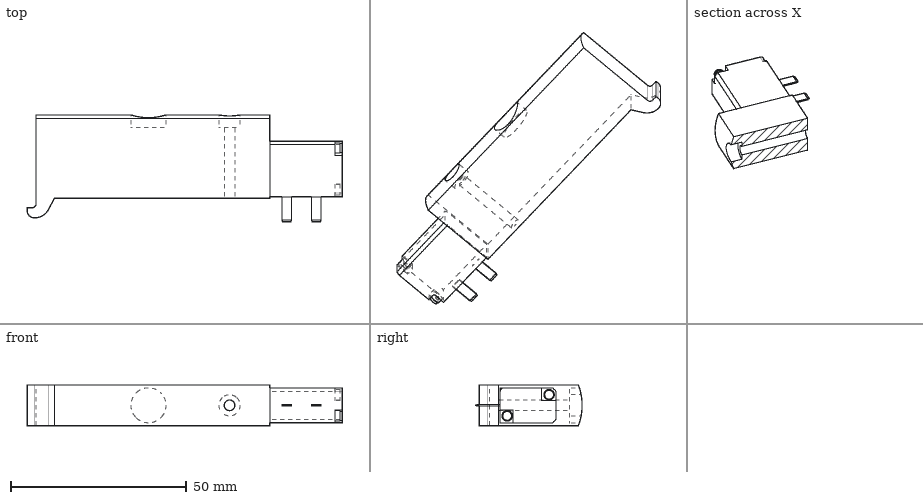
import cadquery as cq
import math

total_length = 89.9

housing_left = 2.5
housing_right = 69.2
housing_thickness = 11.7
housing_top = 23.8
housing_crown = 1.1

hook_bottom = -5.6
hook_lip_top = -2.6
hook_inner_radius = 1.0
hook_nose_radius = 2.2
hook_back_radius = 4.5
hook_back_angle = math.radians(62)

screw_x = 57.7
screw_diameter = 3.0
screw_head_diameter = 6.0
screw_head_depth = 3.6
button_x = 34.6
button_diameter = 10.0
button_depth = 3.6

plug_bottom = 0.45
plug_top = 16.4
plug_chamfer = 1.0
plug_thickness = 10.0

end_detail_length = 2.2
corner_radius = 1.1
lower_notch_width = 3.7
upper_notch_width = 4.1
notch_height = 3.7
peg_diameter = 3.0
peg_inset = 2.0
peg_head_length = 1.4
peg_neck_diameter = 2.5

pin_centers = (74.0, 82.4)
pin_width = 2.8
pin_thickness = 0.45
pin_tip = -6.65
pin_tip_length = 0.5
pin_tip_inset = 0.2


def make_housing():
    """Block along X whose +Y face is an arc across the thickness."""
    half = housing_thickness / 2
    crown_edge = housing_top - housing_crown
    return (
        cq.Workplane("YZ", origin=(housing_left, 0, 0))
        .moveTo(0, -half)
        .lineTo(crown_edge, -half)
        .threePointArc((housing_top, 0), (crown_edge, half))
        .lineTo(0, half)
        .close()
        .extrude(housing_right - housing_left)
    )


def x_cylinder(x_start, length, y, z, diameter):
    return cq.Workplane("YZ", origin=(x_start, y, z)).circle(diameter / 2).extrude(length)


def y_hole(x, y_start, y_end, diameter):
    """Cylinder that runs from y_start up to y_end."""
    return (
        cq.Workplane("XZ", origin=(x, y_end, 0))
        .circle(diameter / 2)
        .extrude(y_end - y_start)
    )


def make_hook():
    sine = math.sin(hook_back_angle)
    cosine = math.cos(hook_back_angle)
    bottom_x = hook_nose_radius
    back_x = bottom_x + hook_back_radius * sine
    back_y = hook_bottom + hook_back_radius * (1 - cosine)
    root_x = back_x - back_y * cosine / sine
    overlap = 0.9
    return (
        cq.Workplane("XY", origin=(0, 0, -housing_thickness / 2))
        .moveTo(0, hook_lip_top)
        .lineTo(0, hook_bottom + hook_nose_radius)
        .tangentArcPoint((bottom_x, hook_bottom), relative=False)
        .tangentArcPoint((back_x, back_y), relative=False)
        .lineTo(root_x, 0)
        .lineTo(root_x, overlap)
        .lineTo(housing_left, overlap)
        .lineTo(housing_left, hook_lip_top + hook_inner_radius)
        .tangentArcPoint((housing_left - hook_inner_radius, hook_lip_top), relative=False)
        .close()
        .extrude(housing_thickness)
    )


def corner_box(y_corner, z_corner, y_inward, z_inward, width, height):
    """Rectangular bar at a plug corner; the inward signs point into the plug."""
    return cq.Workplane("XY").box(end_detail_length, width, height).translate((
        total_length - end_detail_length / 2,
        y_corner + y_inward * width / 2,
        z_corner + z_inward * height / 2,
    ))


def round_corner(plug, y_corner, z_corner, y_inward, z_inward):
    corner = corner_box(y_corner, z_corner, y_inward, z_inward, corner_radius, corner_radius)
    rounding = x_cylinder(
        total_length - end_detail_length, end_detail_length,
        y_corner + y_inward * corner_radius, z_corner + z_inward * corner_radius,
        2 * corner_radius,
    )
    return plug.cut(corner.cut(rounding))


def peg_corner(plug, y_corner, z_corner, y_inward, z_inward, notch_width):
    """Rectangular notch holding a stepped round peg."""
    peg_x = total_length - end_detail_length
    peg_y = y_corner + y_inward * peg_inset
    peg_z = z_corner + z_inward * peg_inset
    root = 0.45
    head = x_cylinder(peg_x - root, root + peg_head_length, peg_y, peg_z, peg_diameter)
    neck = x_cylinder(peg_x, end_detail_length, peg_y, peg_z, peg_neck_diameter)
    notch = corner_box(y_corner, z_corner, y_inward, z_inward, notch_width, notch_height)
    return plug.cut(notch).union(head).union(neck)


def make_plug():
    overlap = 0.9
    half = plug_thickness / 2
    plug = (
        cq.Workplane("YZ", origin=(housing_right - overlap, 0, 0))
        .moveTo(plug_bottom, -half)
        .lineTo(plug_top - plug_chamfer, -half)
        .lineTo(plug_top, plug_chamfer - half)
        .lineTo(plug_top, half - plug_chamfer)
        .lineTo(plug_top - plug_chamfer, half)
        .lineTo(plug_bottom, half)
        .close()
        .extrude(total_length - housing_right + overlap)
    )
    plug = round_corner(plug, plug_bottom, half, 1, -1)
    plug = peg_corner(plug, plug_bottom, -half, 1, 1, lower_notch_width)
    return peg_corner(plug, plug_top, half, -1, -1, upper_notch_width)


def make_pin(x):
    overlap = 0.9
    shoulder = pin_tip + pin_tip_length
    shank = (
        cq.Workplane("XZ", origin=(x, plug_bottom + overlap, 0))
        .rect(pin_width, pin_thickness)
        .extrude(plug_bottom + overlap - shoulder)
    )
    tip = (
        cq.Workplane("XZ", origin=(x, shoulder, 0))
        .rect(pin_width, pin_thickness)
        .workplane(offset=pin_tip_length)
        .rect(pin_width - 2 * pin_tip_inset, pin_thickness - 2 * pin_tip_inset)
        .loft()
    )
    return shank.union(tip)


result = make_housing().union(make_hook())
result = result.cut(y_hole(screw_x, 0, housing_top, screw_diameter))
result = result.cut(y_hole(screw_x, housing_top - screw_head_depth, housing_top, screw_head_diameter))
result = result.cut(y_hole(button_x, housing_top - button_depth, housing_top, button_diameter))
result = result.union(make_plug())
for pin_x in pin_centers:
    result = result.union(make_pin(pin_x))